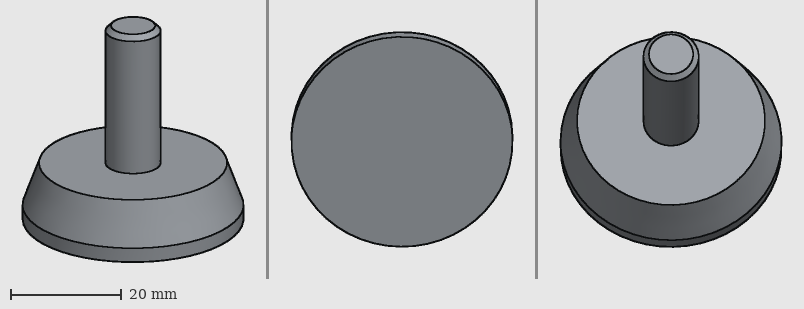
import cadquery as cq
import math

base_diameter = 40.0
base_top_diameter = 34.0
base_height = 11.0
taper_angle = 20.0

stud_diameter = 10.0
stud_length = 27.0
stud_chamfer = 1.0

base_radius = base_diameter / 2
base_top_radius = base_top_diameter / 2
taper_height = (base_radius - base_top_radius) / math.tan(math.radians(taper_angle))
rim_height = base_height - taper_height


def make_base():
    """Solid of revolution with a straight rim below a conical flank."""
    return (
        cq.Workplane("XZ")
        .lineTo(base_radius, 0)
        .lineTo(base_radius, rim_height)
        .lineTo(base_top_radius, base_height)
        .lineTo(0, base_height)
        .close()
        .revolve(360, (0, 0, 0), (0, 1, 0))
    )


def make_stud():
    """Cylinder rising from the base, chamfered at its free end."""
    return (
        cq.Workplane("XY")
        .workplane(offset=base_height)
        .circle(stud_diameter / 2)
        .extrude(stud_length)
        .faces(">Z")
        .chamfer(stud_chamfer)
    )


result = make_base().union(make_stud())